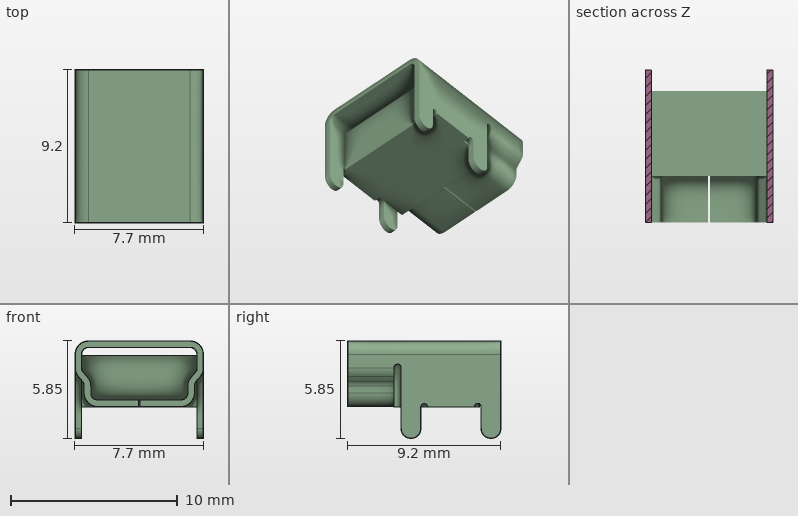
import cadquery as cq
import math


WIDTH = 7.7
DEPTH = 9.2
HEIGHT = 5.85

SHEET = 0.4
INNER_WIDTH = WIDTH - 2 * SHEET
BEND_OUTER = 0.8
BEND_INNER = BEND_OUTER - SHEET
SIDE_STRAIGHT = 0.82
TAPER_ANGLE = 40.0
TAPER_STRAIGHT = 0.405
LOWER_STRAIGHT = 0.43
SEAM_GAP = 0.1
MOUTH_DEPTH = 2.8

SKIRT_Z = 1.89
RELIEF_WIDTH = 0.405
RELIEF_TOP_Z = 4.46
LEG_WIDTH = 1.2
FRONT_LEG_Y = MOUTH_DEPTH + RELIEF_WIDTH + LEG_WIDTH / 2
REAR_LEG_Y = DEPTH - LEG_WIDTH / 2
NOTCH_RADIUS = 0.2

BLOCK_WIDTH = INNER_WIDTH
BLOCK_BOTTOM_Z = SKIRT_Z
BLOCK_TOP_Z = 4.99
BLOCK_BACK_Y = 7.91


def from_centre(centre, radius, angle):
    """Point at `radius` and `angle` (degrees) from `centre`."""
    turn = math.radians(angle)
    return (centre[0] + radius * math.cos(turn), centre[1] + radius * math.sin(turn))


def arc_to(outline, centre, radius, start_angle, end_angle):
    """Line to the start of a circular bend, then the bend itself."""
    return outline.lineTo(*from_centre(centre, radius, start_angle)).threePointArc(
        from_centre(centre, radius, (start_angle + end_angle) / 2),
        from_centre(centre, radius, end_angle),
    )


def mouth_half():
    """Right half of the mouth tube: roof, corner, tapered side and floor up to the seam."""
    taper = math.radians(TAPER_ANGLE)
    bend_sum = BEND_OUTER + BEND_INNER
    taper_inset = bend_sum * (1 - math.cos(taper)) + TAPER_STRAIGHT * math.sin(taper)
    taper_drop = bend_sum * math.sin(taper) + TAPER_STRAIGHT * math.cos(taper)

    upper_x = WIDTH / 2 - BEND_OUTER
    lower_x = WIDTH / 2 - taper_inset
    roof_centre = (upper_x, HEIGHT - BEND_OUTER)
    taper_start = (upper_x, roof_centre[1] - SIDE_STRAIGHT)
    taper_end = (lower_x + BEND_INNER, taper_start[1] - taper_drop)
    floor_centre = (lower_x - BEND_OUTER, taper_end[1] - LOWER_STRAIGHT)
    floor_z = floor_centre[1] - BEND_OUTER

    outline = cq.Workplane("XZ").moveTo(0, HEIGHT)
    outline = arc_to(outline, roof_centre, BEND_OUTER, 90, 0)
    outline = arc_to(outline, taper_start, BEND_OUTER, 0, -TAPER_ANGLE)
    outline = arc_to(outline, taper_end, BEND_INNER, 180 - TAPER_ANGLE, 180)
    outline = arc_to(outline, floor_centre, BEND_OUTER, 0, -90)
    outline = outline.lineTo(SEAM_GAP / 2, floor_z).lineTo(SEAM_GAP / 2, floor_z + SHEET)
    outline = arc_to(outline, floor_centre, BEND_INNER, -90, 0)
    outline = arc_to(outline, taper_end, BEND_OUTER, 180, 180 - TAPER_ANGLE)
    outline = arc_to(outline, taper_start, BEND_INNER, -TAPER_ANGLE, 0)
    outline = arc_to(outline, roof_centre, BEND_INNER, 0, 90)
    outline = outline.lineTo(0, HEIGHT - SHEET).close()
    return outline.extrude(-MOUTH_DEPTH)


def cover():
    """Roof and straight side walls behind the mouth, open at the back and below."""
    length = DEPTH - MOUTH_DEPTH

    def arch(width, top_z, radius):
        body = cq.Workplane("XY").box(width, length, top_z - SKIRT_Z, centered=(True, False, False))
        return body.translate((0, MOUTH_DEPTH, SKIRT_Z)).edges("|Y and >Z").fillet(radius)

    outside = arch(WIDTH, HEIGHT, BEND_OUTER)
    inside = arch(INNER_WIDTH, HEIGHT - SHEET, BEND_INNER)
    return outside.cut(inside)


def across(sketch, width):
    """Extrude a YZ outline symmetrically over `width`."""
    return sketch.extrude(width / 2, both=True)


def side_cuts():
    """Relief slots behind the mouth and corner notches beside the legs, through both side walls."""
    slot_y = MOUTH_DEPTH + RELIEF_WIDTH / 2
    slot_centre_z = RELIEF_TOP_Z - RELIEF_WIDTH / 2
    slot_outline = (
        cq.Workplane("YZ")
        .moveTo(MOUTH_DEPTH, SKIRT_Z)
        .lineTo(MOUTH_DEPTH, slot_centre_z)
        .threePointArc((slot_y, RELIEF_TOP_Z), (MOUTH_DEPTH + RELIEF_WIDTH, slot_centre_z))
        .lineTo(MOUTH_DEPTH + RELIEF_WIDTH, SKIRT_Z)
        .close()
    )
    notch_offset = LEG_WIDTH / 2 + NOTCH_RADIUS
    notch_centres = [(FRONT_LEG_Y + notch_offset, SKIRT_Z), (REAR_LEG_Y - notch_offset, SKIRT_Z)]
    notches = cq.Workplane("YZ").pushPoints(notch_centres).circle(NOTCH_RADIUS)
    return across(slot_outline, WIDTH).union(across(notches, WIDTH))


def leg(side, leg_y):
    """Round-ended solder leg hanging from one side wall; `side` is -1 or +1."""
    half = LEG_WIDTH / 2
    outline = (
        cq.Workplane("YZ")
        .moveTo(leg_y - half, SKIRT_Z)
        .lineTo(leg_y - half, half)
        .threePointArc((leg_y, 0), (leg_y + half, half))
        .lineTo(leg_y + half, SKIRT_Z)
        .close()
    )
    wall_x = side * (WIDTH - SHEET) / 2
    return across(outline, SHEET).translate((wall_x, 0, 0))


def make_shell():
    right_half = mouth_half()
    shell = right_half.union(right_half.mirror("YZ"))
    shell = shell.union(cover().cut(side_cuts()))
    for side in (-1, 1):
        for leg_y in (FRONT_LEG_Y, REAR_LEG_Y):
            shell = shell.union(leg(side, leg_y))
    return shell


def make_insulator():
    """Plain block between the side walls, seated against the back of the mouth tube."""
    size = (BLOCK_WIDTH, BLOCK_BACK_Y - MOUTH_DEPTH, BLOCK_TOP_Z - BLOCK_BOTTOM_Z)
    block = cq.Workplane("XY").box(*size, centered=(True, False, False))
    return block.translate((0, MOUTH_DEPTH, BLOCK_BOTTOM_Z))


shell = make_shell()
insulator = make_insulator()

result = cq.Compound.makeCompound([shell.val(), insulator.val()])